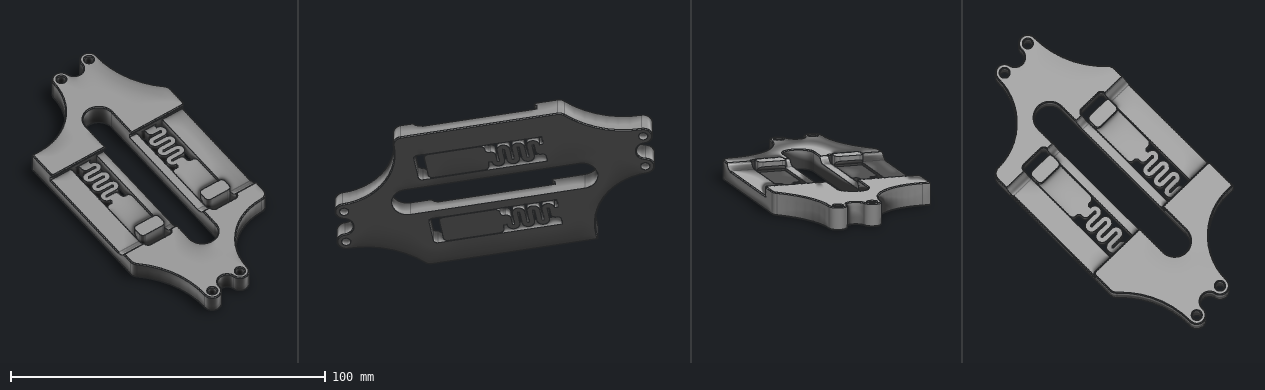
import cadquery as cq
import math

plate_length = 106.8
plate_width = 52.0
left_height = 7.6
right_height = 6.5
rail_height = 4.5
edge_chamfer = 0.3

ear_radius = 3.0
ear_hole_diameter = 2.9
outer_ear = (ear_radius - plate_length / 2, 12.0)
inner_ear = (-48.8, 0.0)
ear_notch_center = (-50.1, 6.0)

tight_waist_x = -28.5
wide_waist_x = -26.6
corner_radius = 3.0

slot_width = 10.0
slot_length = 66.6

lip_wall_x = -18.6
lip_tip_x = -17.5
lip_tip_height = 6.8
ramp_start_x = 18.6
ramp_run = 2.9
ramp_rise = 1.7
ramp_radius = (ramp_run**2 + ramp_rise**2) / (2 * ramp_rise)

window_spacing = 25.7
window_width = 9.9
window_end_x = 23.1
window_corner_radius = 1.3

tongue_start_x = 0.1
tongue_end_x = 19.8
tongue_width = 9.4
latch_height = 3.8
tongue_corner_radius = 1.5
catch_start_x = 14.8
catch_corner_radius = 1.4
undercut_run = 1.8
undercut_rise = 1.5

strand_count = 7
strand_width = 1.7
strand_gap = 0.69
strand_pitch = strand_width + strand_gap
strand_half_length = 1.9
neck_half_width = 1.9
neck_corner_radius = 1.5
neck_upper_fillet = 1.1
neck_lower_fillet = 0.6

spring_center_x = (lip_wall_x + tongue_start_x) / 2


def half_turn(point):
    return (-point[0], -point[1])


def point_toward(start, end, distance):
    """Point on the line from start to end at the given distance from start."""
    ratio = distance / math.dist(start, end)
    return (start[0] + ratio * (end[0] - start[0]), start[1] + ratio * (end[1] - start[1]))


def bulge_point(center, radius, start, end):
    """Middle of the minor arc about center from start to end."""
    chord_middle = ((start[0] + end[0]) / 2, (start[1] + end[1]) / 2)
    return point_toward(center, chord_middle, radius)


def end_arcs():
    """Arcs (middle, end) of the left end, from its top long side down to its bottom long side."""
    half_width = plate_width / 2
    wide_start = (wide_waist_x, half_width)
    wide_end = (outer_ear[0], outer_ear[1] + ear_radius)
    run = wide_start[0] - wide_end[0]
    rise = wide_start[1] - wide_end[1]
    wide_radius = (run**2 + rise**2) / (2 * rise)
    wide_center = (wide_end[0], wide_end[1] + wide_radius)

    notch_start = point_toward(outer_ear, ear_notch_center, ear_radius)
    notch_end = point_toward(inner_ear, ear_notch_center, ear_radius)
    notch_radius = math.dist(ear_notch_center, notch_start)

    tight_start = (inner_ear[0], inner_ear[1] - ear_radius)
    tight_radius = tight_waist_x - inner_ear[0]
    tight_center = (inner_ear[0], tight_start[1] - tight_radius)
    tight_end = (tight_waist_x, tight_center[1])

    outer_ear_tip = (outer_ear[0] - ear_radius, outer_ear[1])
    inner_ear_tip = (inner_ear[0] - ear_radius, inner_ear[1])
    notch_middle = (ear_notch_center[0] + notch_radius, ear_notch_center[1])
    return [
        (bulge_point(wide_center, wide_radius, wide_start, wide_end), wide_end),
        (outer_ear_tip, notch_start),
        (notch_middle, notch_end),
        (inner_ear_tip, tight_start),
        (bulge_point(tight_center, tight_radius, tight_start, tight_end), tight_end),
    ]


def plate(height):
    """Full plate outline, with its bottom rim chamfered."""
    half_width = plate_width / 2
    arcs = end_arcs()
    outline = cq.Workplane("XY").moveTo(wide_waist_x, half_width)
    for middle, end in arcs:
        outline = outline.threePointArc(middle, end)
    outline = outline.lineTo(tight_waist_x, -half_width).lineTo(-wide_waist_x, -half_width)
    for middle, end in arcs:
        outline = outline.threePointArc(half_turn(middle), half_turn(end))
    outline = outline.lineTo(-tight_waist_x, half_width).close()
    body = outline.extrude(height)
    wide_corner = (wide_waist_x, half_width)
    for corner in [wide_corner, half_turn(wide_corner), (-tight_waist_x, half_width)]:
        nearest = cq.selectors.NearestToPointSelector((*corner, height / 2))
        body = body.edges("|Z").edges(nearest).fillet(corner_radius)
    return body.faces("<Z").edges().chamfer(edge_chamfer)


def slot(height):
    """Cutter for the central slot."""
    return cq.Workplane("XY").slot2D(slot_length, slot_width).extrude(height)


def ear_holes(height):
    """Cutter for the four ear holes."""
    centers = [outer_ear, inner_ear, half_turn(outer_ear), half_turn(inner_ear)]
    return cq.Workplane("XY").pushPoints(centers).circle(ear_hole_diameter / 2).extrude(height)


def windows(height):
    """Cutter for both latch windows, rounded at the catch end."""
    length = window_end_x - lip_wall_x
    cutter = (
        cq.Workplane("XY")
        .pushPoints([(0, window_spacing / 2), (0, -window_spacing / 2)])
        .rect(length, window_width)
        .extrude(height)
        .translate(((window_end_x + lip_wall_x) / 2, 0, 0))
    )
    return cutter.edges("|Z and >X").fillet(window_corner_radius)


def across_plate(profile):
    """Extrude a closed XZ profile over the whole plate width."""
    return profile.close().extrude(plate_width / 2, both=True)


def left_block():
    """Higher end block, its lip overhanging the recess with rounded outer corners."""
    lip_reach = lip_tip_x - lip_wall_x
    plan = cq.Workplane("XY").box(
        lip_tip_x + plate_length / 2, plate_width, left_height, centered=(False, True, False)
    )
    plan = plan.edges("|Z and >X").fillet(lip_reach).translate((-plate_length / 2, 0, 0))
    body = plate(left_height).intersect(plan).cut(slot(left_height)).cut(ear_holes(left_height))
    body = body.faces(">Z").edges().chamfer(edge_chamfer)
    undercut = (
        cq.Workplane("XZ")
        .moveTo(lip_wall_x, 0)
        .lineTo(lip_wall_x, lip_tip_height - lip_reach)
        .lineTo(lip_tip_x, lip_tip_height)
        .lineTo(lip_tip_x, 0)
    )
    return body.cut(across_plate(undercut))


def right_block():
    """Lower end block, rising from the recess floor by a concave ramp."""
    body = plate(right_height).cut(slot(right_height)).cut(ear_holes(right_height))
    body = body.cut(windows(right_height))
    body = body.faces(">Z").edges().chamfer(edge_chamfer)
    ramp_end = (ramp_start_x + ramp_run, rail_height + ramp_rise)
    ramp_center = (ramp_start_x, rail_height + ramp_radius)
    ramp_start = (ramp_start_x, rail_height)
    region = (
        cq.Workplane("XZ")
        .moveTo(ramp_start_x, 0)
        .lineTo(*ramp_start)
        .threePointArc(bulge_point(ramp_center, ramp_radius, ramp_start, ramp_end), ramp_end)
        .lineTo(ramp_end[0] + right_height - ramp_end[1], right_height)
        .lineTo(plate_length / 2, right_height)
        .lineTo(plate_length / 2, 0)
    )
    return body.intersect(across_plate(region))


def rails():
    """Recessed floor between the end blocks, open at the slot and windows."""
    body = plate(rail_height).faces(">Z").edges().chamfer(edge_chamfer)
    body = body.cut(slot(rail_height)).cut(windows(rail_height))
    region = (
        cq.Workplane("XZ")
        .moveTo(lip_wall_x, 0)
        .lineTo(ramp_start_x, 0)
        .lineTo(ramp_start_x, rail_height)
        .lineTo(lip_wall_x, rail_height)
    )
    return body.intersect(across_plate(region))


def spring_neck():
    """Joint between the last spring strand and the tongue."""
    left = spring_center_x + (strand_count - 1) / 2 * strand_pitch - strand_width / 2
    right = tongue_start_x
    arc_inset = 1 - math.sqrt(0.5)
    corner_inset = arc_inset * neck_corner_radius
    upper_inset = arc_inset * neck_upper_fillet
    lower_inset = arc_inset * neck_lower_fillet
    top = neck_half_width
    bottom = -neck_half_width
    return (
        cq.Workplane("XY")
        .moveTo(left, bottom)
        .lineTo(left, top - neck_corner_radius)
        .threePointArc((left + corner_inset, top - corner_inset), (left + neck_corner_radius, top))
        .lineTo(right - neck_upper_fillet, top)
        .threePointArc((right - upper_inset, top + upper_inset), (right, top + neck_upper_fillet))
        .lineTo(right, bottom - neck_lower_fillet)
        .threePointArc((right - lower_inset, bottom - lower_inset), (right - neck_lower_fillet, bottom))
        .close()
        .extrude(latch_height)
    )


def spring():
    """Meander of straight strands joined by half-ring turns, alternately at the top and bottom."""
    first_x = spring_center_x - (strand_count - 1) / 2 * strand_pitch
    outer_radius = (strand_pitch + strand_width) / 2
    inner_radius = strand_gap / 2

    neck = spring_neck()
    body = neck.union(neck.rotate((spring_center_x, 0, 0), (spring_center_x, 0, 1), 180))
    for index in range(strand_count):
        low = 0 if index == 0 else -strand_half_length
        high = 0 if index == strand_count - 1 else strand_half_length
        strand = cq.Workplane("XY").box(strand_width, high - low, latch_height, centered=(True, False, False))
        body = body.union(strand.translate((first_x + index * strand_pitch, low, 0)))
    for index in range(strand_count - 1):
        side = 1 if index % 2 == 0 else -1
        half = cq.Workplane("XY").center(0, side * outer_radius / 2).rect(2 * outer_radius, outer_radius)
        ring = cq.Workplane("XY").circle(outer_radius).circle(inner_radius).extrude(latch_height)
        turn = ring.intersect(half.extrude(latch_height))
        turn_x = first_x + (index + 0.5) * strand_pitch
        body = body.union(turn.translate((turn_x, side * strand_half_length, 0)))
    return body


def tongue_block(start_x, height, start_radius):
    """Upright block ending at the tongue end, its vertical edges rounded."""
    length = tongue_end_x - start_x
    block = cq.Workplane("XY").box(length, tongue_width, height, centered=(False, True, False))
    block = block.edges("|Z and <X").fillet(start_radius).edges("|Z and >X").fillet(catch_corner_radius)
    return block.translate((start_x, 0, 0))


def latch():
    """Spring, tongue and the catch on the tongue, centred on the X axis."""
    tongue = tongue_block(tongue_start_x, latch_height, tongue_corner_radius)
    undercut = (
        cq.Workplane("XZ")
        .moveTo(catch_start_x, 0)
        .lineTo(catch_start_x + undercut_run, 0)
        .lineTo(catch_start_x + undercut_run, rail_height)
        .lineTo(catch_start_x, rail_height + undercut_rise)
    )
    catch = tongue_block(catch_start_x, left_height, catch_corner_radius).cut(across_plate(undercut))
    return spring().union(tongue).union(catch)


result = left_block().union(rails()).union(right_block())
for window_y in [window_spacing / 2, -window_spacing / 2]:
    result = result.union(latch().translate((0, window_y, 0)))